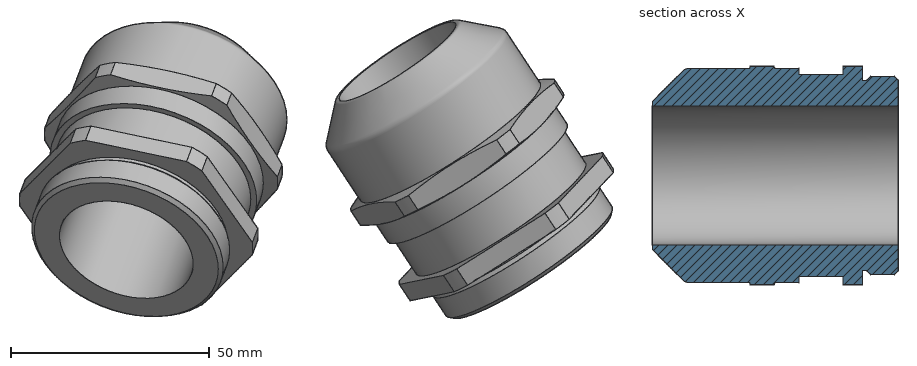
import cadquery as cq
import math

length = 62.0
bore_radius = 17.5

across_flats = 55.0
corner_radius = 30.5
body_hex_start = 9.0
body_hex_end = 14.0
cap_hex_start = 31.1
cap_hex_end = 37.45
hex_chamfer_depth = 1.0

thread_radius = 25.05
thread_chamfer = 1.0
undercut_radius = thread_radius - thread_chamfer
undercut_start = 8.0

body_radius = 25.5

cap_radius = 27.05
cap_start = 25.0
shoulder_start = 52.75
shoulder_fillet = 2.0
nose_fillet = 1.0
cone_angle = math.radians(45)


def make_turned_body():
    """Revolve the stepped outer profile, drawn as radius against Y, about the Y axis."""
    half_angle = cone_angle / 2
    shoulder_center_radius = cap_radius - shoulder_fillet
    shoulder_mid = (
        shoulder_center_radius + shoulder_fillet * math.cos(half_angle),
        shoulder_start + shoulder_fillet * math.sin(half_angle),
    )
    cone_start_radius = shoulder_center_radius + shoulder_fillet * math.cos(cone_angle)
    cone_start = shoulder_start + shoulder_fillet * math.sin(cone_angle)

    nose_center = length - nose_fillet
    cone_end = nose_center + nose_fillet * math.sin(cone_angle)
    cone_end_radius = cone_start_radius - (cone_end - cone_start) * math.tan(cone_angle)
    nose_center_radius = cone_end_radius - nose_fillet * math.cos(cone_angle)
    nose_mid_angle = (cone_angle + math.pi / 2) / 2
    nose_mid = (
        nose_center_radius + nose_fillet * math.cos(nose_mid_angle),
        nose_center + nose_fillet * math.sin(nose_mid_angle),
    )

    return (
        cq.Workplane("XY")
        .moveTo(0, 0)
        .lineTo(thread_radius - thread_chamfer, 0)
        .lineTo(thread_radius, thread_chamfer)
        .lineTo(thread_radius, undercut_start - thread_chamfer)
        .lineTo(undercut_radius, undercut_start)
        .lineTo(undercut_radius, body_hex_start)
        .lineTo(body_radius, body_hex_start)
        .lineTo(body_radius, cap_start)
        .lineTo(cap_radius, cap_start)
        .lineTo(cap_radius, shoulder_start)
        .threePointArc(shoulder_mid, (cone_start_radius, cone_start))
        .lineTo(cone_end_radius, cone_end)
        .threePointArc(nose_mid, (nose_center_radius, length))
        .lineTo(0, length)
        .close()
        .revolve(360, (0, 0), (0, 1))
    )


def make_hexagon(start, end, chamfer_depth=0.0):
    """Make a hexagon with turned corners, chamfered in to the cap radius on both faces if a depth is given."""
    thickness = end - start
    across_corners = across_flats / math.cos(math.pi / 6)
    face_plane = cq.Workplane("XZ", origin=(0, end, 0))
    prism = face_plane.polygon(6, across_corners).extrude(thickness)
    envelope = face_plane.circle(corner_radius).extrude(thickness)
    if chamfer_depth > 0:
        face_inset = corner_radius - cap_radius
        envelope = envelope.faces("<Y").edges().chamfer(chamfer_depth, face_inset)
        envelope = envelope.faces(">Y").edges().chamfer(chamfer_depth, face_inset)
    return prism.intersect(envelope)


body_hexagon = make_hexagon(body_hex_start, body_hex_end)
cap_hexagon = make_hexagon(cap_hex_start, cap_hex_end, hex_chamfer_depth)
bore = cq.Workplane("XZ").circle(bore_radius).extrude(-length)

result = make_turned_body().union(body_hexagon).union(cap_hexagon).cut(bore)